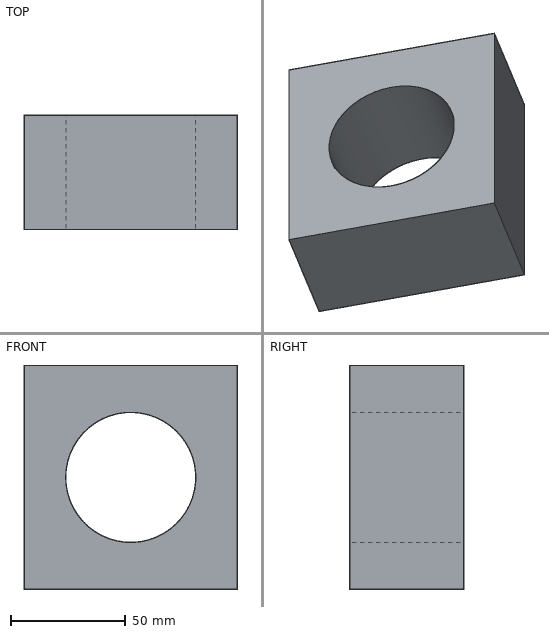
import cadquery as cq

width = 93.1
depth = 50.0
height = 97.8

bore_diameter = 56.7

block = cq.Workplane("XY").box(width, depth, height)
result = block.faces("<Y").workplane(centerOption="CenterOfBoundBox").hole(bore_diameter)